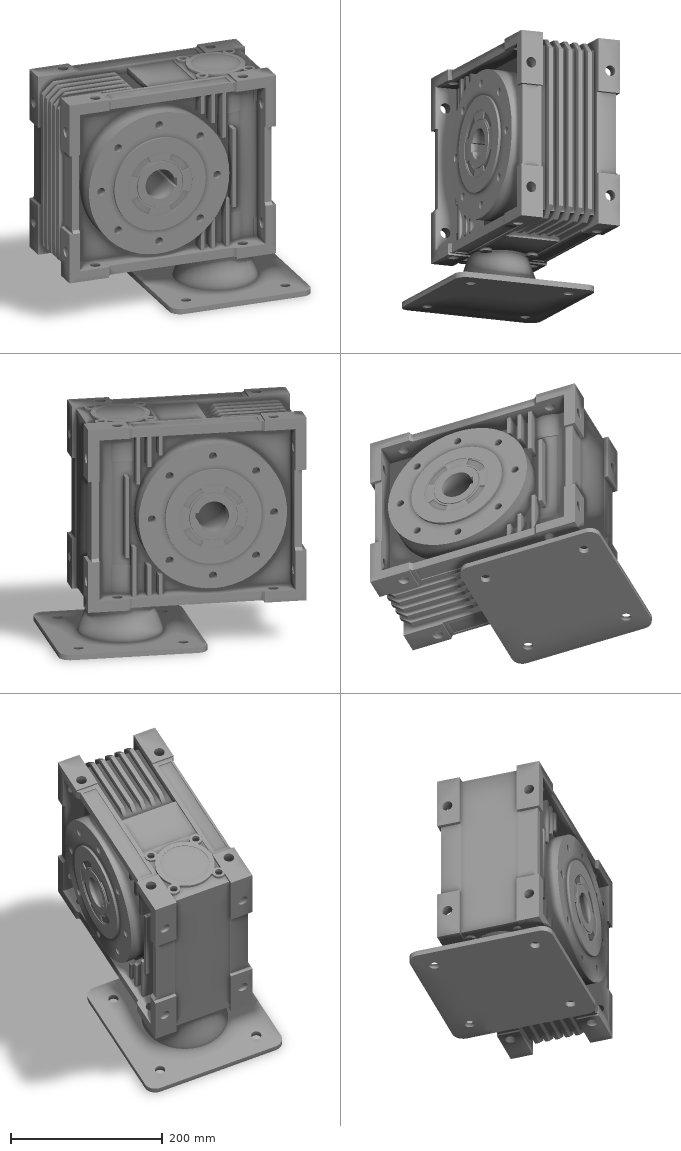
import cadquery as cq
import math


shaft_z = -1.5
worm_offset = 110.0
housing_front = -126.5
housing_back = 167.5
half_height = 126.2
half_width = 71.5
core_half_width = 40.0
wall = 15.0

block_length_y = 56.0
block_half_gap_z = 55.5
rail_drop_z = 2.5
rail_drop_y = 5.0
rail_drop_x = 3.7
panel_length = 170.3
panel_width = 19.0
panel_depth = 1.5
panel_center_x = 55.2
block_hole_radius = 7.0
block_hole_x = 57.2
block_hole_z = 84.8
block_hole_inset = 42.0

core_front = -112.5
core_back = 161.5
core_front_top = 112.0
pad_length = 64.5
pad_top = 121.0
core_back_top = 122.5

fin_count = 5
fin_pitch = 14.0
fin_thickness = 5.7
fin_start = -10.5
fin_ramp = 10.8
fin_face = -126.0
fin_bevel_y = 16.5
fin_bevel_z = 15.0

flange_radius = 100.0
flange_face = 73.7
spigot_radius = 65.0
spigot_face = 77.5
flange_hole_count = 8
flange_hole_circle_radius = 82.5
flange_hole_radius = 5.5
flange_hole_depth = 16.8
seal_radius = 45.8
seal_recess = 0.7
hub_radius = 32.0
hub_gap = 0.85
hub_gap_depth = 2.0
seal_slot_count = 4
seal_slot_inner = 35.0
seal_slot_outer = 44.0
seal_slot_angle = 46
seal_slot_depth = 1.7
bore_radius = 21.0
keyway_width = 12.0
keyway_reach = 24.0

tube_radius = 44.0
tube_end_radius = 45.0
tube_end_length = 39.5
rib_face = 60.0
rib_thickness = 5.0
corner_rib_height = 1.0
corner_rib_gap_z = 83.5

cover_radius = 39.5
cover_lid_radius = 32.5
cover_lid_recess = 0.7
ear_count = 4
ear_circle_radius = 47.0
ear_radius = 8.5
ear_neck_width = 11.0
ear_hole_radius = 5.0
ear_hole_depth = 10.0
ear_turn = 46

plate_size = 200.0
plate_thickness = 7.5
plate_corner_radius = 15.0
plate_hole_spacing = 141.3
plate_hole_radius = 6.7
foot_height = 55.2
cone_top_radius = 40.5
cone_base_radius = 57.2

housing_mid_y = (housing_front + housing_back) / 2
housing_length = housing_back - housing_front
pocket_back = housing_back - wall
pocket_half_height = half_height - wall
rail_front = housing_front + block_length_y
rail_back = housing_back - block_length_y
rail_mid_y = (rail_front + rail_back) / 2
plate_bottom = -half_height - foot_height
plate_top = plate_bottom + plate_thickness


def box(x_range, y_range, z_range):
    """Box given by its limits along each axis."""
    corner = (x_range[0], y_range[0], z_range[0])
    size = [limits[1] - limits[0] for limits in (x_range, y_range, z_range)]
    return cq.Workplane("XY").box(*size, centered=False).translate(corner)


def x_cylinder(radius, x_start, x_end):
    """Cylinder on the output shaft axis."""
    return cq.Workplane("YZ", origin=(x_start, 0, shaft_z)).circle(radius).extrude(x_end - x_start)


def worm_plane(z):
    """Horizontal plane centred on the worm."""
    return cq.Workplane("XY", origin=(0, worm_offset, z))


def both_ends(shape):
    """The shape together with its mirror image in the mid-height plane."""
    return shape.union(shape.mirror("XY"))


def make_frame():
    """Rectangular frame on the +X side, with raised corner blocks and set-back rails."""
    depth = half_width - core_half_width
    start = (core_half_width, housing_mid_y, 0)
    frame = (
        cq.Workplane("YZ", origin=start)
        .rect(housing_length, 2 * half_height)
        .rect(housing_length - 2 * wall, 2 * pocket_half_height)
        .extrude(depth)
    )
    x_range = (core_half_width, half_width)
    rail_y = (rail_front, rail_back)
    rail_z = (shaft_z - block_half_gap_z, shaft_z + block_half_gap_z)
    frame = frame.cut(both_ends(box(x_range, rail_y, (half_height - rail_drop_z, half_height))))
    frame = frame.cut(box(x_range, (housing_front, housing_front + rail_drop_y), rail_z))
    frame = frame.cut(box(x_range, (housing_back - rail_drop_y, housing_back), rail_z))

    rail_face = half_width - rail_drop_x
    horizontal_setback = (
        cq.Workplane("XY", origin=(0, 0, -half_height))
        .polyline([
            (half_width, rail_front),
            (rail_face, rail_front + rail_drop_x),
            (rail_face, rail_back - rail_drop_x),
            (half_width, rail_back),
        ])
        .close()
        .extrude(2 * half_height)
    )
    upright_setback = (
        cq.Workplane("XZ", origin=(0, housing_back, 0))
        .polyline([
            (half_width, rail_z[0]),
            (rail_face, rail_z[0] + rail_drop_x),
            (rail_face, rail_z[1]),
            (half_width, rail_z[1]),
        ])
        .close()
        .extrude(housing_length)
    )
    frame = frame.cut(horizontal_setback).cut(upright_setback)

    panel_floor = half_height - rail_drop_z - panel_depth
    panel = (
        cq.Workplane("XY", origin=(panel_center_x, rail_mid_y, panel_floor))
        .rect(panel_width, panel_length)
        .extrude(panel_depth)
    )
    frame = frame.cut(both_ends(panel))

    hole_ys = (housing_front + block_hole_inset, housing_back - block_hole_inset)
    upright_holes = (
        cq.Workplane("XY", origin=(0, 0, -half_height))
        .pushPoints([(block_hole_x, y) for y in hole_ys])
        .circle(block_hole_radius)
        .extrude(2 * half_height)
    )
    level_holes = (
        cq.Workplane("XZ", origin=(0, housing_back, 0))
        .pushPoints([(block_hole_x, shaft_z + offset) for offset in (-block_hole_z, block_hole_z)])
        .circle(block_hole_radius)
        .extrude(housing_length)
    )
    return frame.cut(upright_holes).cut(level_holes)


def make_core():
    """Solid body between the frames, stepped in height along Y."""
    core_x = (-core_half_width, core_half_width)
    front = box(core_x, (core_front, 0), (-core_front_top, core_front_top))
    pad = box(core_x, (0, pad_length), (-core_back_top, pad_top))
    back = box(core_x, (pad_length, core_back), (-core_back_top, core_back_top))
    return front.union(pad).union(back)


def make_fins():
    """Parallel fins wrapping over the top, front and bottom of the core."""
    upper = [
        (fin_start, core_front_top),
        (fin_start - fin_ramp, pad_top),
        (fin_face + fin_bevel_y, pad_top),
        (fin_face, pad_top - fin_bevel_z),
    ]
    lower = [
        (fin_face, -core_back_top + fin_bevel_z),
        (fin_face + fin_bevel_y, -core_back_top),
        (fin_start - fin_ramp, -core_back_top),
        (fin_start, -core_front_top),
    ]
    fins = cq.Workplane("YZ")
    for index in range(fin_count):
        x = (index - (fin_count - 1) / 2) * fin_pitch - fin_thickness / 2
        fin = cq.Workplane("YZ", origin=(x, 0, 0)).polyline(upper + lower).close().extrude(fin_thickness)
        fins = fins.union(fin)
    return fins


def make_tube():
    """Worm tube bulging out of the pocket floors, thicker at both ends."""
    tube = worm_plane(-pocket_half_height).circle(tube_radius).extrude(2 * pocket_half_height)
    end = worm_plane(pocket_half_height - tube_end_length).circle(tube_end_radius).extrude(tube_end_length)
    return tube.union(both_ends(end))


def make_pocket_ribs():
    """Upright ribs standing on the +X pocket floor: (centre Y, lower Z, upper Z)."""
    top = pocket_half_height
    spans = [
        (112.7, -57.0, 54.2),
        (98.0, 43.7, top),
        (103.0, -top, -43.0),
        (82.8, 67.0, top),
        (82.8, -top, -69.5),
        (67.5, 82.0, top),
        (67.5, -top, -83.5),
    ]
    ribs = cq.Workplane("XY")
    for y, z_low, z_high in spans:
        y_range = (y - rib_thickness / 2, y + rib_thickness / 2)
        ribs = ribs.union(box((core_half_width, rib_face), y_range, (z_low, z_high)))
    corner_x = (core_half_width, core_half_width + corner_rib_height)
    corner_y = (pocket_back - rib_thickness, pocket_back)
    corner_z_ranges = [(shaft_z + corner_rib_gap_z, top), (-top, shaft_z - corner_rib_gap_z)]
    for z_range in corner_z_ranges:
        ribs = ribs.union(box(corner_x, corner_y, z_range))
    return ribs


def make_flange():
    """Output flange on the +X side with its spigot, seal and bolt holes."""
    flange = x_cylinder(flange_radius, core_half_width, flange_face)
    flange = flange.union(x_cylinder(spigot_radius, flange_face, spigot_face))

    seal_floor = spigot_face - seal_recess
    seal_groove = x_cylinder(seal_radius, seal_floor, spigot_face)
    hub = x_cylinder(hub_radius, core_half_width, spigot_face)
    hub_gap_cut = x_cylinder(hub_radius + hub_gap, spigot_face - hub_gap_depth, spigot_face)
    flange = flange.cut(seal_groove).cut(hub_gap_cut).union(hub)

    slot_floor = seal_floor - seal_slot_depth
    half_angle = math.radians(seal_slot_angle / 2)

    def slot_point(radius, angle):
        return (radius * math.cos(angle), radius * math.sin(angle))

    slot = (
        cq.Workplane("YZ", origin=(slot_floor, 0, shaft_z))
        .moveTo(*slot_point(seal_slot_inner, -half_angle))
        .lineTo(*slot_point(seal_slot_outer, -half_angle))
        .threePointArc((seal_slot_outer, 0), slot_point(seal_slot_outer, half_angle))
        .lineTo(*slot_point(seal_slot_inner, half_angle))
        .threePointArc((seal_slot_inner, 0), slot_point(seal_slot_inner, -half_angle))
        .close()
        .extrude(seal_slot_depth)
    )
    for index in range(seal_slot_count):
        turn = (index + 0.5) * 360 / seal_slot_count
        flange = flange.cut(slot.rotate((0, 0, shaft_z), (1, 0, shaft_z), turn))

    bolt_holes = (
        cq.Workplane("YZ", origin=(flange_face - flange_hole_depth, 0, shaft_z))
        .polarArray(flange_hole_circle_radius, 0, 360, flange_hole_count)
        .circle(flange_hole_radius)
        .extrude(flange_hole_depth)
    )
    return flange.cut(bolt_holes)


def make_bore():
    """Through bore of the output shaft with a keyway towards the worm."""
    bore = x_cylinder(bore_radius, -spigot_face, spigot_face)
    half_key = keyway_width / 2
    keyway_z = (shaft_z - half_key, shaft_z + half_key)
    return bore.union(box((-spigot_face, spigot_face), (0, keyway_reach), keyway_z))


def make_cover():
    """Round worm cover with four bolt ears on top of the housing."""
    thickness = half_height - core_back_top
    cover = worm_plane(core_back_top).circle(cover_radius).extrude(thickness)
    neck = (
        worm_plane(core_back_top)
        .center(ear_circle_radius / 2, 0)
        .rect(ear_circle_radius, ear_neck_width)
        .extrude(thickness)
    )
    ear = worm_plane(core_back_top).center(ear_circle_radius, 0).circle(ear_radius).extrude(thickness)
    arm = ear.union(neck)
    worm_axis = ((0, worm_offset, 0), (0, worm_offset, 1))
    for index in range(ear_count):
        cover = cover.union(arm.rotate(*worm_axis, ear_turn + index * 360 / ear_count))
    return cover


def make_cover_cuts():
    """Lid recess and bolt holes of the upper cover."""
    lid = worm_plane(half_height - cover_lid_recess).circle(cover_lid_radius).extrude(cover_lid_recess)
    holes = (
        worm_plane(half_height - ear_hole_depth)
        .polarArray(ear_circle_radius, ear_turn, 360, ear_count)
        .circle(ear_hole_radius)
        .extrude(ear_hole_depth)
    )
    return lid.union(holes)


def make_foot():
    """Square plate on a cone below the lower cover."""
    plate = worm_plane(plate_bottom).rect(plate_size, plate_size).extrude(plate_thickness)
    plate = plate.edges("|Z").fillet(plate_corner_radius)
    holes = (
        worm_plane(plate_bottom)
        .rect(plate_hole_spacing, plate_hole_spacing, forConstruction=True)
        .vertices()
        .circle(plate_hole_radius)
        .extrude(plate_thickness)
    )
    cone_height = -half_height - plate_top
    cone = cq.Workplane(
        cq.Solid.makeCone(cone_base_radius, cone_top_radius, cone_height, pnt=(0, worm_offset, plate_top))
    )
    return plate.cut(holes).union(cone)


side = make_frame().union(make_pocket_ribs()).union(make_flange())
housing = make_core().union(make_tube()).union(make_fins()).union(side).union(side.mirror("YZ"))
housing = housing.union(both_ends(make_cover())).cut(make_cover_cuts()).cut(make_bore())
result = housing.union(make_foot())